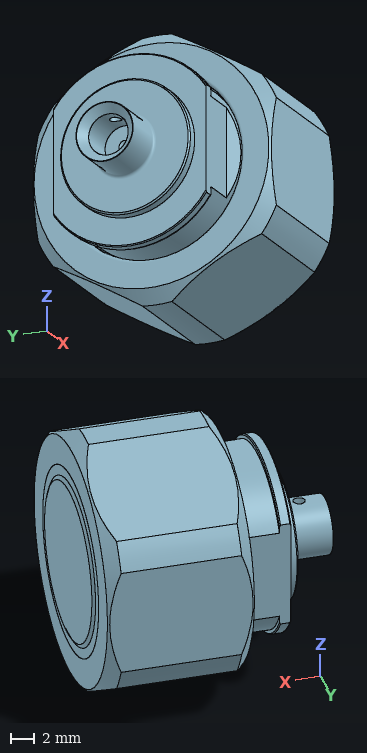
import cadquery as cq
import math


total_length = 22.4
flange_start = 4.03
collar_start = 5.02
collar_end = 6.02
nut_start = 9.34
nut_end = 22.18

tube_radius = 2.65
tube_root_fillet = 0.3
bore_radius = 1.82
bore_depth = flange_start
bore_mouth_chamfer = 0.77
dimple_radius = 0.53
dimple_cone_angle = 118.0
vent_radius = 0.5
vent_position = 2.23

flange_radius = 6.0
flange_edge_chamfer = 0.15
collar_radius = 8.52
collar_edge_chamfer = 0.1
barrel_radius = 8.1
shoulder_depth = 1.2
nose_base_radius = 7.35
nose_tip_radius = 6.98

flats_width = 14.1
flat_end = 9.05
runout_angle = 60.0

nut_across_flats = 22.0
nut_corner_radius = 12.0
nut_chamfer = 1.15
nut_bore_radius = 8.25
nut_bore_fillet = 0.34


def revolve_about_x(profile):
    """Turn a closed (x, radius) profile into a solid about the X axis."""
    return profile.close().revolve(360, (0, 0, 0), (1, 0, 0))


def make_turned_body():
    """Outside of the body, with the solder bore and its centre dimple."""
    fillet_start = flange_start - tube_root_fillet
    fillet_radius = tube_radius + tube_root_fillet
    fillet_offset = tube_root_fillet * math.sqrt(0.5)
    fillet_middle = (fillet_start + fillet_offset, fillet_radius - fillet_offset)
    dimple_depth = dimple_radius / math.tan(math.radians(dimple_cone_angle / 2))
    shoulder_start = nut_start + shoulder_depth
    profile = (
        cq.Workplane("XZ")
        .moveTo(bore_depth + dimple_depth, 0)
        .lineTo(bore_depth, dimple_radius)
        .lineTo(bore_depth, bore_radius)
        .lineTo(bore_mouth_chamfer, bore_radius)
        .lineTo(0, bore_radius + bore_mouth_chamfer)
        .lineTo(0, tube_radius)
        .lineTo(fillet_start, tube_radius)
        .threePointArc(fillet_middle, (flange_start, fillet_radius))
        .lineTo(flange_start, flange_radius - flange_edge_chamfer)
        .lineTo(flange_start + flange_edge_chamfer, flange_radius)
        .lineTo(collar_start, flange_radius)
        .lineTo(collar_start, collar_radius - collar_edge_chamfer)
        .lineTo(collar_start + collar_edge_chamfer, collar_radius)
        .lineTo(collar_end - collar_edge_chamfer, collar_radius)
        .lineTo(collar_end, collar_radius - collar_edge_chamfer)
        .lineTo(collar_end, barrel_radius)
        .lineTo(shoulder_start, barrel_radius)
        .lineTo(shoulder_start, nut_bore_radius)
        .lineTo(nut_end, nut_bore_radius)
        .lineTo(nut_end, nose_base_radius)
        .lineTo(total_length, nose_tip_radius)
        .lineTo(total_length, 0)
    )
    return revolve_about_x(profile)


def make_flat_cutter():
    """Material removed on the +Y side to form one wrench flat and its run-out."""
    flat_y = flats_width / 2
    outer_y = collar_radius + 0.25
    runout_length = (outer_y - flat_y) / math.tan(math.radians(runout_angle))
    return (
        cq.Workplane("XY")
        .moveTo(collar_start, flat_y)
        .lineTo(flat_end, flat_y)
        .lineTo(flat_end + runout_length, outer_y)
        .lineTo(collar_start, outer_y)
        .close()
        .extrude(collar_radius, both=True)
    )


def make_vent_cutter():
    """Radial vent hole through the upper tube wall into the bore."""
    return (
        cq.Workplane("XY")
        .center(vent_position, 0)
        .circle(vent_radius)
        .extrude(tube_radius + 0.25)
    )


def make_body():
    flat_cutter = make_flat_cutter()
    return (
        make_turned_body()
        .cut(flat_cutter)
        .cut(flat_cutter.mirror("XZ"))
        .cut(make_vent_cutter())
    )


def make_nut():
    """Hexagon trimmed by a chamfered cylinder, then bored and rounded at the rear."""
    nut_length = nut_end - nut_start
    hex_circle_diameter = nut_across_flats / math.cos(math.radians(30))
    rear_plane = cq.Workplane("YZ", origin=(nut_start, 0, 0))
    hexagon = (
        rear_plane
        .transformed(rotate=(0, 0, 90))
        .polygon(6, hex_circle_diameter)
        .extrude(nut_length)
    )
    envelope = rear_plane.circle(nut_corner_radius).extrude(nut_length).edges().chamfer(nut_chamfer)
    bore = rear_plane.circle(nut_bore_radius).extrude(nut_length)
    bored_nut = hexagon.intersect(envelope).cut(bore)
    return bored_nut.faces("<X").edges(cq.selectors.RadiusNthSelector(0)).fillet(nut_bore_fillet)


connector_body = make_body()
coupling_nut = make_nut()

result = cq.Compound.makeCompound([connector_body.val(), coupling_nut.val()])